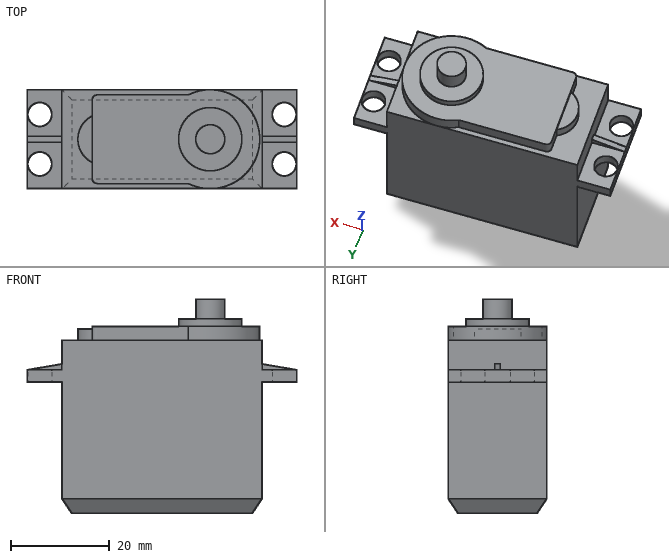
import cadquery as cq

case_length = 40.5
case_width = 20.0
case_height = 35.0
bottom_slope_height = 3.0
bottom_slope_inset = 2.0

ear_span = 54.5
ear_thickness = 2.5
ear_top = 29.0
ear_hole_diameter = 4.8
ear_hole_spacing_x = 49.4
ear_hole_spacing_y = 10.0

rib_width = 1.2
rib_height = 1.2

shaft_x = 9.75
cover_height = 2.8
cover_round_diameter = case_width
cover_width = 17.9
cover_left = -14.1
cover_corner_radius = 1.0

boss_diameter = 10.5
boss_height = 2.3
boss_left = -17.0

collar_diameter = 12.8
collar_height = 1.5
shaft_diameter = 5.87
shaft_height = 4.0


def make_case():
    """Block with a sloped band around the bottom."""
    straight_part = (
        cq.Workplane("XY")
        .workplane(offset=bottom_slope_height)
        .rect(case_length, case_width)
        .extrude(case_height - bottom_slope_height)
    )
    sloped_part = (
        cq.Workplane("XY")
        .rect(case_length - 2 * bottom_slope_inset, case_width - 2 * bottom_slope_inset)
        .workplane(offset=bottom_slope_height)
        .rect(case_length, case_width)
        .loft(ruled=True)
    )
    return straight_part.union(sloped_part)


def make_ears():
    """One plate through the case forms both ears, with two holes in each."""
    return (
        cq.Workplane("XY")
        .workplane(offset=ear_top - ear_thickness)
        .rect(ear_span, case_width)
        .extrude(ear_thickness)
        .faces(">Z")
        .workplane(origin=(0, 0, ear_top))
        .rarray(ear_hole_spacing_x, ear_hole_spacing_y, 2, 2)
        .hole(ear_hole_diameter)
    )


def make_rib(side):
    """Wedge falling from the case wall to the ear tip; side is -1 or 1."""
    wall_x = side * case_length / 2
    tip_x = side * ear_span / 2
    return (
        cq.Workplane("XZ")
        .moveTo(wall_x, ear_top)
        .lineTo(tip_x, ear_top)
        .lineTo(wall_x, ear_top + rib_height)
        .close()
        .extrude(rib_width / 2, both=True)
    )


def cylinder(x, bottom, diameter, height):
    """Upright cylinder on the centre line of the case."""
    return cq.Workplane("XY", origin=(x, 0, bottom)).circle(diameter / 2).extrude(height)


def make_cover():
    """Flat plate with rounded left corners that runs into a disc around the shaft."""
    plate_length = shaft_x - cover_left
    plate = (
        cq.Workplane("XY", origin=(cover_left + plate_length / 2, 0, case_height))
        .rect(plate_length, cover_width)
        .extrude(cover_height)
        .edges("|Z and <X")
        .fillet(cover_corner_radius)
    )
    return plate.union(cylinder(shaft_x, case_height, cover_round_diameter, cover_height))


cover_top = case_height + cover_height
collar_top = cover_top + collar_height

result = make_case().union(make_ears())
for side in (-1, 1):
    result = result.union(make_rib(side))
result = result.union(cylinder(boss_left + boss_diameter / 2, case_height, boss_diameter, boss_height))
result = result.union(make_cover())
result = result.union(cylinder(shaft_x, cover_top, collar_diameter, collar_height))
result = result.union(cylinder(shaft_x, collar_top, shaft_diameter, shaft_height))